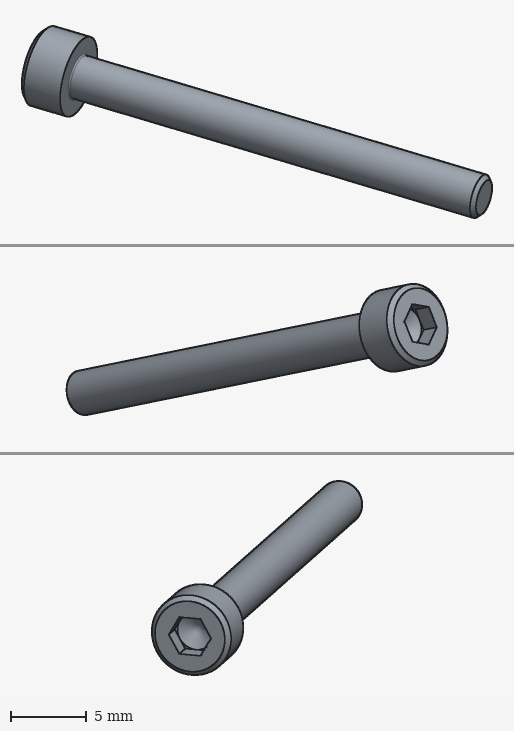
import cadquery as cq
import math

TOTAL_LENGTH = 33.0
HEAD_LENGTH = 3.0
HEAD_DIAMETER = 5.5
HEAD_CHAMFER = 0.33
SHANK_DIAMETER = 3.0
TIP_CHAMFER = 0.3
NECK_FILLET = 0.1
SOCKET_ACROSS_FLATS = 2.55
SOCKET_DEPTH = 1.3
SOCKET_CONE_ANGLE = 120.0


def make_head():
    head = cq.Workplane("YZ").circle(HEAD_DIAMETER / 2).extrude(HEAD_LENGTH)
    return head.faces("<X").chamfer(HEAD_CHAMFER)


def make_shank():
    shank_length = TOTAL_LENGTH - HEAD_LENGTH
    shank = (
        cq.Workplane("YZ", origin=(HEAD_LENGTH, 0, 0))
        .circle(SHANK_DIAMETER / 2)
        .extrude(shank_length)
    )
    return shank.faces(">X").chamfer(TIP_CHAMFER)


def make_socket():
    """Hexagonal recess, two corners along Y, ending in a conical bottom."""
    across_corners = SOCKET_ACROSS_FLATS / math.cos(math.pi / 6)
    cone_radius = SOCKET_ACROSS_FLATS / 2
    cone_depth = cone_radius / math.tan(math.radians(SOCKET_CONE_ANGLE / 2))
    hexagon = cq.Workplane("YZ").polygon(6, across_corners).extrude(SOCKET_DEPTH)
    cone = (
        cq.Workplane("XY")
        .moveTo(SOCKET_DEPTH, 0)
        .lineTo(SOCKET_DEPTH, cone_radius)
        .lineTo(SOCKET_DEPTH + cone_depth, 0)
        .close()
        .revolve(360, (0, 0, 0), (1, 0, 0))
    )
    return hexagon.union(cone)


def round_neck(screw):
    """Fillet the inside corner where the shank meets the head."""
    reach = SHANK_DIAMETER / 2 + NECK_FILLET
    neck_edge = cq.selectors.BoxSelector(
        (HEAD_LENGTH - NECK_FILLET, -reach, -reach),
        (HEAD_LENGTH + NECK_FILLET, reach, reach),
        boundingbox=True,
    )
    return screw.edges(neck_edge).fillet(NECK_FILLET)


result = round_neck(make_head().union(make_shank())).cut(make_socket())